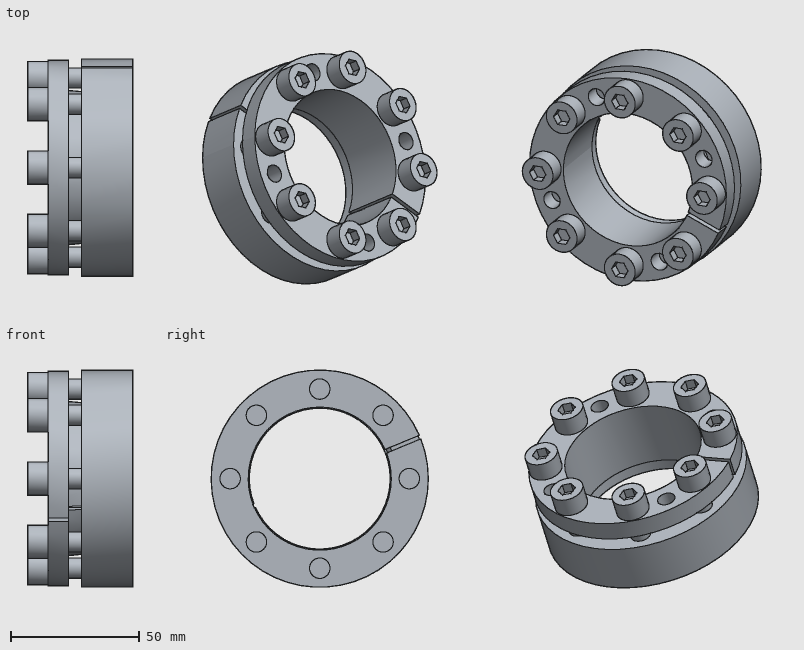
import cadquery as cq
import math


TOTAL_LENGTH = 41.0
HEAD_LENGTH = 8.0
FLANGE_THICKNESS = 8.0
RING_GAP = 5.0
flange_front = HEAD_LENGTH
flange_back = flange_front + FLANGE_THICKNESS
outer_ring_front = flange_back + RING_GAP
outer_ring_length = TOTAL_LENGTH - outer_ring_front
sleeve_length = outer_ring_length

OUTER_RING_DIAMETER = 84.9
FLANGE_DIAMETER = 83.9
BORE_DIAMETER = 54.95

TAPER_ANGLE = 5.0
CONE_RADIUS_AT_OUTER_RING = 29.7
taper_slope = math.tan(math.radians(TAPER_ANGLE))

SLIT_WIDTH = 1.5
OUTER_RING_SLIT_ANGLE = 22.5
inner_ring_slit_angle = OUTER_RING_SLIT_ANGLE + 180.0

SCREW_COUNT = 8
BOLT_CIRCLE_RADIUS = 35.0
HEAD_DIAMETER = 13.1
SHANK_DIAMETER = 8.0
SOCKET_ACROSS_FLATS = 6.0
SOCKET_DEPTH = 4.0
screw_pitch = 360.0 / SCREW_COUNT
socket_corner_diameter = SOCKET_ACROSS_FLATS / math.cos(math.radians(30.0))

JACKING_HOLE_COUNT = 4
JACKING_HOLE_DIAMETER = 7.0
jacking_hole_pitch = 360.0 / JACKING_HOLE_COUNT
first_jacking_hole_angle = screw_pitch / 2.0 + screw_pitch


def cylinder(x_start, length, diameter):
    """Solid cylinder along X, centred on the axis."""
    return cq.Workplane("YZ", origin=(x_start, 0, 0)).circle(diameter / 2.0).extrude(length)


def cone(x_start, length):
    """Length of the shared cone between x_start and x_start + length."""
    x_end = x_start + length
    start_radius = CONE_RADIUS_AT_OUTER_RING + (outer_ring_front - x_start) * taper_slope
    end_radius = start_radius - length * taper_slope
    profile = [(x_start, 0), (x_start, start_radius), (x_end, end_radius), (x_end, 0)]
    return cq.Workplane("XY").polyline(profile).close().revolve(360, (0, 0, 0), (1, 0, 0))


def on_bolt_circle(body, angle):
    """Move an axial body out to the bolt circle at the given angle."""
    y = BOLT_CIRCLE_RADIUS * math.cos(math.radians(angle))
    z = BOLT_CIRCLE_RADIUS * math.sin(math.radians(angle))
    return body.translate((0, y, z))


def slit(angle):
    """Radial slab that cuts through one side of a ring over the whole length."""
    slab = cq.Workplane("XY").box(
        TOTAL_LENGTH, OUTER_RING_DIAMETER, SLIT_WIDTH, centered=(False, False, True)
    )
    return slab.rotate((0, 0, 0), (1, 0, 0), angle)


def cut_shank_holes(ring):
    """Cut a hole for every screw shank through a ring."""
    for i in range(SCREW_COUNT):
        ring = ring.cut(on_bolt_circle(cylinder(0, TOTAL_LENGTH, SHANK_DIAMETER), i * screw_pitch))
    return ring


def make_inner_ring():
    """Flange with a tapered sleeve, bored through and slit on one side."""
    flange = cylinder(flange_front, FLANGE_THICKNESS, FLANGE_DIAMETER)
    ring = flange.union(cone(flange_back, sleeve_length))
    ring = ring.cut(cylinder(0, TOTAL_LENGTH, BORE_DIAMETER))
    ring = cut_shank_holes(ring)
    for i in range(JACKING_HOLE_COUNT):
        angle = first_jacking_hole_angle + i * jacking_hole_pitch
        hole = cylinder(flange_front, FLANGE_THICKNESS, JACKING_HOLE_DIAMETER)
        ring = ring.cut(on_bolt_circle(hole, angle))
    return ring.cut(slit(inner_ring_slit_angle))


def make_outer_ring():
    """Cylindrical ring with a tapered bore, slit opposite the inner ring's slit."""
    ring = cylinder(outer_ring_front, outer_ring_length, OUTER_RING_DIAMETER)
    ring = ring.cut(cone(outer_ring_front, outer_ring_length))
    ring = cut_shank_holes(ring)
    return ring.cut(slit(OUTER_RING_SLIT_ANGLE))


def make_screw(angle):
    """Socket head screw whose shank ends flush with the back of the outer ring."""
    head = cylinder(0, HEAD_LENGTH, HEAD_DIAMETER)
    shank = cylinder(HEAD_LENGTH, TOTAL_LENGTH - HEAD_LENGTH, SHANK_DIAMETER)
    socket = cq.Workplane("YZ").polygon(6, socket_corner_diameter).extrude(SOCKET_DEPTH)
    return on_bolt_circle(head.union(shank).cut(socket), angle)


inner_ring = make_inner_ring()
outer_ring = make_outer_ring()
screws = [make_screw(i * screw_pitch) for i in range(SCREW_COUNT)]

result = cq.Compound.makeCompound(
    [inner_ring.val(), outer_ring.val(), *[screw.val() for screw in screws]]
)